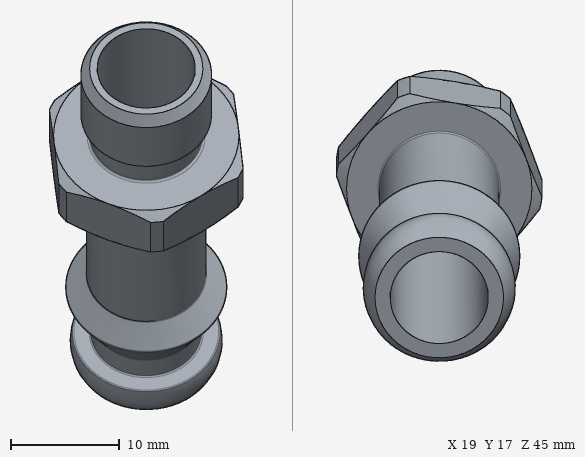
import cadquery as cq
import math

total_height = 45.0
head_top = 4.05
lower_neck_top = 6.6
barb_edge_height = 11.0
barb_top = 13.1
hex_bottom = 28.9
hex_height = 5.65
hex_top = hex_bottom + hex_height
thread_bottom = 37.0
thread_chamfer_height = 1.0

bore_diameter = 9.0
lower_neck_diameter = 10.2
upper_neck_diameter = 10.4
shank_diameter = 11.0
thread_diameter = 12.0
barb_diameter = 14.85

neck_fillet = 0.22

edge_rounding = 0.15

head_bottom_diameter = 11.8
head_bulge_diameter = 13.95
head_bulge_height = 2.4
head_top_diameter = 13.5

across_flats = 17.0
across_rounded_corners = 19.0
hex_chamfer_height = 0.55


def make_body():
    """Revolve the round outline, from the hose end up to the threaded end."""
    lower_neck_radius = lower_neck_diameter / 2
    upper_neck_radius = upper_neck_diameter / 2
    shank_radius = shank_diameter / 2
    thread_radius = thread_diameter / 2
    return (
        cq.Workplane("XZ")
        .moveTo(0, 0)
        .lineTo(head_bottom_diameter / 2, 0)
        .threePointArc((head_bulge_diameter / 2, head_bulge_height), (head_top_diameter / 2, head_top))
        .lineTo(lower_neck_radius, head_top)
        .lineTo(lower_neck_radius, lower_neck_top)
        .lineTo(barb_diameter / 2, barb_edge_height)
        .lineTo(shank_radius, barb_top)
        .lineTo(shank_radius, hex_bottom)
        .lineTo(upper_neck_radius + neck_fillet, hex_bottom)
        .lineTo(upper_neck_radius + neck_fillet, hex_top)
        .radiusArc((upper_neck_radius, hex_top + neck_fillet), neck_fillet)
        .lineTo(upper_neck_radius, thread_bottom)
        .lineTo(thread_radius, thread_bottom + thread_chamfer_height)
        .lineTo(thread_radius, total_height - thread_chamfer_height)
        .lineTo(upper_neck_radius, total_height)
        .lineTo(0, total_height)
        .close()
        .revolve(360, (0, 0, 0), (0, 1, 0))
    )


def make_hexagon():
    """Hexagon with rounded corners and a conical chamfer on both faces."""
    sharp_corner_diameter = across_flats / math.cos(math.radians(30))
    prism = (
        cq.Workplane("XY")
        .workplane(offset=hex_bottom)
        .polygon(6, sharp_corner_diameter)
        .extrude(hex_height)
    )
    flat_radius = across_flats / 2
    corner_radius = across_rounded_corners / 2
    chamfered_disc = (
        cq.Workplane("XZ")
        .moveTo(0, hex_bottom)
        .lineTo(flat_radius, hex_bottom)
        .lineTo(corner_radius, hex_bottom + hex_chamfer_height)
        .lineTo(corner_radius, hex_top - hex_chamfer_height)
        .lineTo(flat_radius, hex_top)
        .lineTo(0, hex_top)
        .close()
        .revolve(360, (0, 0, 0), (0, 1, 0))
    )
    return prism.intersect(chamfered_disc)


def is_ring(edge, radius, height):
    """Tell whether a circular edge has the given radius and height."""
    tolerance = 0.0005
    same_radius = abs(edge.radius() - radius) < tolerance
    same_height = abs(edge.Center().z - height) < tolerance
    return same_radius and same_height


def round_ring_edges(solid):
    """Soften the circular edges of the head, the barb and the shank foot."""
    rings = [
        (head_top_diameter, head_top),
        (lower_neck_diameter, head_top),
        (lower_neck_diameter, lower_neck_top),
        (barb_diameter, barb_edge_height),
        (shank_diameter, barb_top),
        (shank_diameter, hex_bottom),
    ]
    for diameter, height in rings:
        ring_edges = solid.edges("%CIRCLE").filter(lambda edge: is_ring(edge, diameter / 2, height))
        solid = ring_edges.fillet(edge_rounding)
    return solid


bore = cq.Workplane("XY").circle(bore_diameter / 2).extrude(total_height)
blank = make_body().union(make_hexagon()).cut(bore)
result = round_ring_edges(blank)